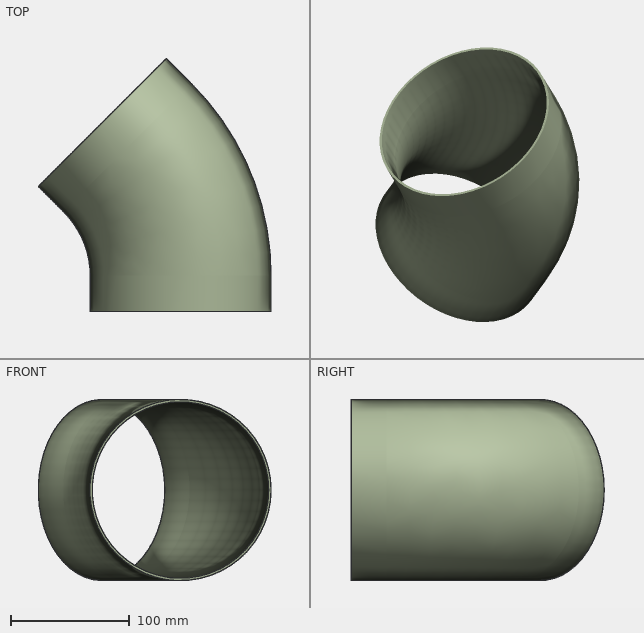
import cadquery as cq

outer_diameter = 152.5
inner_diameter = 148.4
collar_length = 30.0
bend_angle = 45
bend_radius = outer_diameter


def pipe_section():
    """Annular pipe section in the XZ plane, centred on the origin."""
    return cq.Workplane("XZ").circle(outer_diameter / 2).circle(inner_diameter / 2)


bend_axis_start = (-bend_radius, 0)
bend_axis_end = (-bend_radius, 1)
bend = pipe_section().revolve(bend_angle, bend_axis_start, bend_axis_end)

inlet_collar = pipe_section().extrude(collar_length)

outlet_collar = (
    pipe_section()
    .extrude(-collar_length)
    .rotate((-bend_radius, 0, 0), (-bend_radius, 0, 1), bend_angle)
)

result = inlet_collar.union(bend).union(outlet_collar)